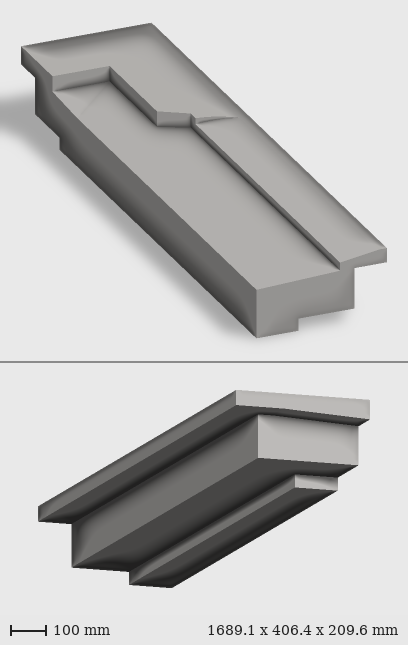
import cadquery as cq

LENGTH = 1689.1
WIDTH = 406.4
HEIGHT = 209.55

WEB_INSET_X = 98.425
WEB_INSET_Y = 101.6
FOOT_INSET_X = 276.225
FOOT_INSET_Y = 276.225
FOOT_HEIGHT = 38.1

REAR_DEPTH = 44.45
FRONT_DEPTH = 57.15
SLOPE_LENGTH = 260.35
SLOPE = (FRONT_DEPTH - REAR_DEPTH) / SLOPE_LENGTH

RECESS_X = 225.425
RECESS_Y = 177.8
SHOULDER_START_X = 565.15
SHOULDER_END_X = 617.5375

TRAY_X = 652.4625
TRAY_BACK_X = 704.85
TRAY_BACK_Y = WIDTH - 25.4
TRAY_DEPTH = 19.05
TRAY_END_BOW = 11.1125


def prism_along_x(yz_points, start_x):
    """Extrude a YZ outline from start_x to the right end."""
    outline = cq.Workplane("YZ", origin=(start_x, 0, 0)).polyline(yz_points).close()
    return outline.extrude(LENGTH - start_x)


def corner_block(inset_x, inset_y, depth):
    """Block below the top face, flush with the front and right faces."""
    block = cq.Workplane("XY").box(LENGTH - inset_x, WIDTH - inset_y, depth, centered=False)
    return block.translate((inset_x, 0, -depth))


def floor_prism():
    """Space above the floor that falls from SLOPE_LENGTH to the front face."""
    points = [(0, 0), (0, -FRONT_DEPTH), (SLOPE_LENGTH, -REAR_DEPTH), (SLOPE_LENGTH, 0)]
    return prism_along_x(points, 0)


def make_blank():
    """Slab with a stepped web and foot below it."""
    slab_points = [
        (0, 0),
        (0, -FRONT_DEPTH),
        (SLOPE_LENGTH, -REAR_DEPTH),
        (WIDTH, -REAR_DEPTH),
        (WIDTH, 0),
    ]
    slab = prism_along_x(slab_points, 0)
    web = corner_block(WEB_INSET_X, WEB_INSET_Y, HEIGHT - FOOT_HEIGHT)
    foot = corner_block(FOOT_INSET_X, FOOT_INSET_Y, HEIGHT)
    return slab.union(web).union(foot)


def make_recess():
    """Front recess; its floor also rises toward the left wall, meeting at a 45 degree crease."""
    outline = [
        (RECESS_X, 0),
        (LENGTH, 0),
        (LENGTH, SLOPE_LENGTH),
        (SHOULDER_END_X, SLOPE_LENGTH),
        (SHOULDER_START_X, RECESS_Y),
        (RECESS_X, RECESS_Y),
    ]
    column = cq.Workplane("XY").polyline(outline).close().extrude(-FRONT_DEPTH)

    crease_depth = FRONT_DEPTH - SLOPE * RECESS_Y
    crease_end_x = RECESS_X + RECESS_Y
    end_slope = [
        (RECESS_X, 0),
        (RECESS_X, -crease_depth),
        (crease_end_x, -FRONT_DEPTH),
        (LENGTH, -FRONT_DEPTH),
        (LENGTH, 0),
    ]
    end_prism = cq.Workplane("XZ").polyline(end_slope).close().extrude(-WIDTH)
    return column.intersect(floor_prism()).intersect(end_prism)


def make_tray():
    """Tray that fades out at the back, with an arc for its left end."""
    column = (
        cq.Workplane("XY")
        .moveTo(TRAY_X, SLOPE_LENGTH)
        .sagittaArc((TRAY_BACK_X, TRAY_BACK_Y), TRAY_END_BOW)
        .lineTo(LENGTH, TRAY_BACK_Y)
        .lineTo(LENGTH, SLOPE_LENGTH)
        .close()
        .extrude(-TRAY_DEPTH)
    )
    wedge_points = [(SLOPE_LENGTH, 0), (SLOPE_LENGTH, -TRAY_DEPTH), (TRAY_BACK_Y, 0)]
    return column.intersect(prism_along_x(wedge_points, TRAY_X))


result = make_blank().cut(make_recess()).cut(make_tray())